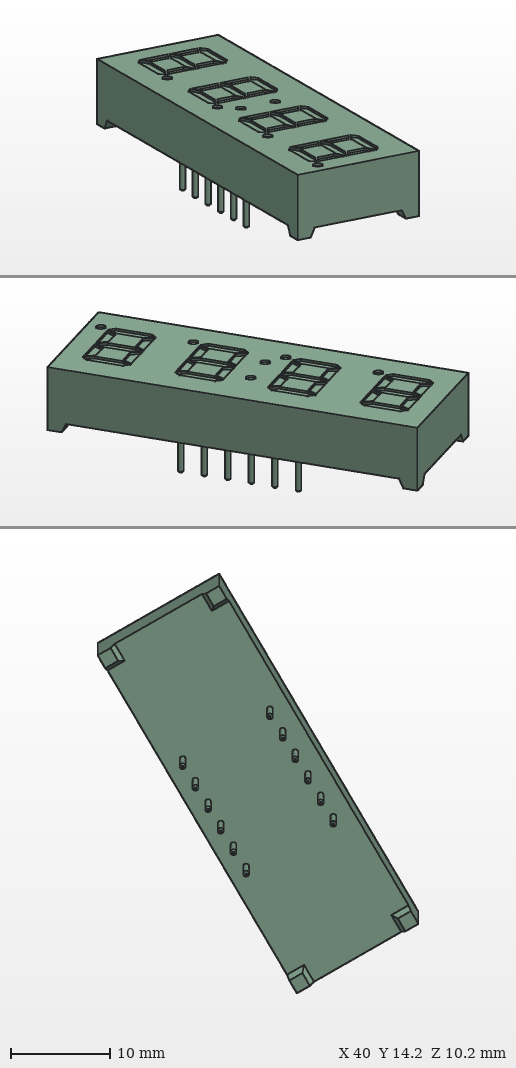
import cadquery as cq

LENGTH = 40.0
WIDTH = 14.15
HEIGHT = 7.0
FOOT_HEIGHT = 1.0
FOOT_TIP = 1.5
FOOT_ROOT = 2.0
UNDERSIDE_Z = FOOT_HEIGHT - HEIGHT

TOTAL_HEIGHT = 10.25
PIN_DIAMETER = 0.6
PIN_TIP_CHAMFER = 0.2
PINS_PER_ROW = 6
PIN_ROW_LENGTH = 12.7
PIN_PITCH = PIN_ROW_LENGTH / (PINS_PER_ROW - 1)
PIN_ROW_SPACING = 10.15

DIGIT_COUNT = 4
DIGIT_PITCH = LENGTH / DIGIT_COUNT
DIGIT_WIDTH = 5.1
DIGIT_HEIGHT = 8.1
SEGMENT_WIDTH = 1.1
SEGMENT_GAP = 0.26
MITRE_RISE = SEGMENT_WIDTH / 2
CORNER_CUT = 0.6
RECESS_DEPTH = 0.25

DOT_DIAMETER = 1.0
POINT_X = 3.5
POINT_Y = -3.85
COLON_SPACING = 4.0


def foot_channel(span, depth, plane):
    """Tapered channel that leaves feet at both ends of the span."""
    tip = span / 2 - FOOT_TIP
    root = span / 2 - FOOT_ROOT
    outline = [(-tip, -HEIGHT), (tip, -HEIGHT), (root, UNDERSIDE_Z), (-root, UNDERSIDE_Z)]
    return cq.Workplane(plane).polyline(outline).close().extrude(depth / 2, both=True)


def make_housing():
    block = cq.Workplane("XY").box(LENGTH, WIDTH, HEIGHT, centered=(True, True, False))
    block = block.translate((0, 0, -HEIGHT))
    block = block.cut(foot_channel(LENGTH, WIDTH, "XZ"))
    return block.cut(foot_channel(WIDTH, LENGTH, "YZ"))


def make_pins():
    return (
        cq.Workplane("XY", origin=(0, 0, UNDERSIDE_Z))
        .rarray(PIN_PITCH, PIN_ROW_SPACING, PINS_PER_ROW, 2)
        .circle(PIN_DIAMETER / 2)
        .extrude(-(TOTAL_HEIGHT + UNDERSIDE_Z))
        .faces("<Z")
        .chamfer(PIN_TIP_CHAMFER)
    )


def recess(outline):
    return cq.Workplane("XY").polyline(outline).close().extrude(-RECESS_DEPTH)


def make_digit():
    """Cutter for one figure eight, centred on the origin, with its decimal point."""
    side = DIGIT_WIDTH / 2
    top = DIGIT_HEIGHT / 2
    side_inner = side - SEGMENT_WIDTH
    top_inner = top - SEGMENT_WIDTH
    middle = SEGMENT_WIDTH / 2

    middle_segment = recess([
        (-side, 0), (-side_inner, middle), (side_inner, middle),
        (side, 0), (side_inner, -middle), (-side_inner, -middle),
    ])
    top_segment = recess([
        (-side_inner, top_inner), (side_inner, top_inner),
        (side, top_inner + MITRE_RISE), (side - CORNER_CUT, top),
        (CORNER_CUT - side, top), (-side, top_inner + MITRE_RISE),
    ])
    side_segment = recess([
        (side, SEGMENT_GAP), (side, top_inner + MITRE_RISE - SEGMENT_GAP),
        (side_inner, top_inner - SEGMENT_GAP), (side_inner, middle + SEGMENT_GAP),
    ])
    upper_half = top_segment.union(side_segment).union(side_segment.mirror("YZ"))
    point = cq.Workplane("XY").center(POINT_X, POINT_Y).circle(DOT_DIAMETER / 2).extrude(-RECESS_DEPTH)
    return middle_segment.union(upper_half).union(upper_half.mirror("XZ")).union(point)


def make_colon():
    return (
        cq.Workplane("XY")
        .rarray(0.4, COLON_SPACING, 1, 2)
        .circle(DOT_DIAMETER / 2)
        .extrude(-RECESS_DEPTH)
    )


result = make_housing().union(make_pins()).cut(make_colon())
digit = make_digit()
for index in range(DIGIT_COUNT):
    digit_x = (index - (DIGIT_COUNT - 1) / 2) * DIGIT_PITCH
    result = result.cut(digit.translate((digit_x, 0, 0)))